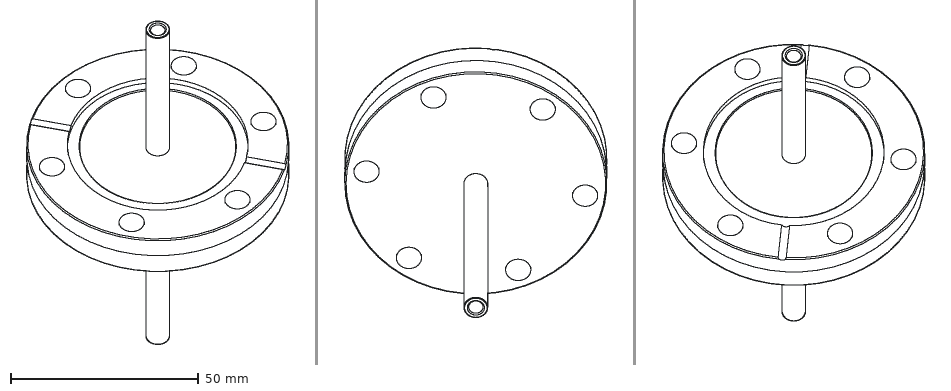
import cadquery as cq

flange_diameter = 70.0
flange_thickness = 12.7
flange_chamfer = 0.4

rim_groove_height = 6.4
rim_groove_width = 1.9
rim_groove_depth = 0.18

recess_diameter = 48.2
knife_diameter = 42.0
knife_drop = 0.7
recess_depth = 1.8
centre_drop = 1.2
centre_diameter = 41.6

bolt_count = 6
bolt_circle_diameter = 58.8
bolt_hole_diameter = 6.7

leak_groove_width = 2.2
leak_groove_depth = 0.7
leak_groove_angle = 30

tube_length = 120.0
tube_diameter = 6.4
tube_bore = 3.8
tube_chamfer = 0.18
bore_chamfer = 0.4
tube_below_flange = 62.4


def flange_body():
    """Revolved disc with chamfered rims, rim groove and sealing recess."""
    radius = flange_diameter / 2
    top = flange_thickness
    profile = (
        cq.Workplane("XZ")
        .moveTo(0, 0)
        .lineTo(radius - flange_chamfer, 0)
        .lineTo(radius, flange_chamfer)
        .lineTo(radius, rim_groove_height - rim_groove_width / 2)
        .lineTo(radius - rim_groove_depth, rim_groove_height)
        .lineTo(radius, rim_groove_height + rim_groove_width / 2)
        .lineTo(radius, top - flange_chamfer)
        .lineTo(radius - flange_chamfer, top)
        .lineTo(recess_diameter / 2, top)
        .lineTo(recess_diameter / 2, top - recess_depth)
        .lineTo(knife_diameter / 2, top - knife_drop)
        .lineTo(centre_diameter / 2, top - centre_drop)
        .lineTo(0, top - centre_drop)
        .close()
    )
    return profile.revolve(360, (0, 0), (0, 1))


def bolt_holes():
    return (
        cq.Workplane("XY")
        .polarArray(bolt_circle_diameter / 2, 0, 360, bolt_count)
        .circle(bolt_hole_diameter / 2)
        .extrude(flange_thickness)
    )


def leak_groove(angle):
    """Horizontal round cutter that leaves a groove from the recess out to the rim."""
    half_width = leak_groove_width / 2
    cutter_radius = (half_width**2 + leak_groove_depth**2) / (2 * leak_groove_depth)
    cutter_height = flange_thickness - leak_groove_depth + cutter_radius
    start = knife_diameter / 2 + cutter_radius
    return (
        cq.Workplane("YZ", origin=(start, 0, 0))
        .center(0, cutter_height)
        .circle(cutter_radius)
        .extrude(flange_diameter / 2)
        .rotate((0, 0, 0), (0, 0, 1), angle)
    )


def tube():
    return (
        cq.Workplane("XY", origin=(0, 0, -tube_below_flange))
        .circle(tube_diameter / 2)
        .extrude(tube_length)
        .faces("<Z or >Z")
        .edges()
        .chamfer(tube_chamfer)
    )


def bore():
    """Cutter for the tube bore, flared at both ends."""
    bottom = -tube_below_flange
    top = bottom + tube_length
    radius = tube_bore / 2
    flared_radius = radius + bore_chamfer
    profile = (
        cq.Workplane("XZ")
        .moveTo(0, bottom)
        .lineTo(flared_radius, bottom)
        .lineTo(radius, bottom + bore_chamfer)
        .lineTo(radius, top - bore_chamfer)
        .lineTo(flared_radius, top)
        .lineTo(0, top)
        .close()
    )
    return profile.revolve(360, (0, 0), (0, 1))


flange = flange_body().cut(bolt_holes())
for side in range(2):
    flange = flange.cut(leak_groove(leak_groove_angle + 180 * side))

result = flange.union(tube()).cut(bore())